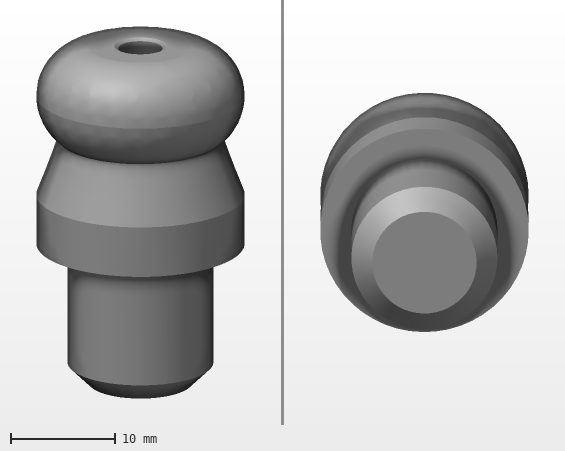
import cadquery as cq
import math

total_height = 34.0
tip_chamfer = 2.0
shank_top = 14.0
collar_top = 19.0
neck_level = 24.72

outer_radius = 10.0
shank_radius = 7.0
neck_radius = 7.92

head_round = 5.0
round_center_radius = outer_radius - head_round
round_center_level = total_height - head_round

hole_radius = 2.1
hole_mouth_radius = 2.5
hole_depth = 12.0
cone_angle = 120.0


def make_body():
    """Shank, collar, tapered neck and rounded head, turned about the Z axis."""
    diagonal = head_round * math.sqrt(0.5)
    upper_middle = (round_center_radius + diagonal, round_center_level + diagonal)
    equator = (outer_radius, round_center_level)

    undercut = outer_radius - neck_radius
    drop = round_center_level - neck_level
    lower_round = (undercut**2 + drop**2) / (2 * undercut)
    half_sweep = math.asin(drop / lower_round) / 2
    lower_middle = (
        outer_radius - lower_round * (1 - math.cos(half_sweep)),
        round_center_level - lower_round * math.sin(half_sweep),
    )

    profile = (
        cq.Workplane("XZ")
        .moveTo(0, 0)
        .lineTo(shank_radius - tip_chamfer, 0)
        .lineTo(shank_radius, tip_chamfer)
        .lineTo(shank_radius, shank_top)
        .lineTo(outer_radius, shank_top)
        .lineTo(outer_radius, collar_top)
        .lineTo(neck_radius, neck_level)
        .threePointArc(lower_middle, equator)
        .threePointArc(upper_middle, (round_center_radius, total_height))
        .lineTo(0, total_height)
        .close()
    )
    return profile.revolve(360, (0, 0, 0), (0, 1, 0))


def make_hole():
    """Drilled hole with a countersunk mouth and a conical bottom."""
    cone_slope = 1 / math.tan(math.radians(cone_angle / 2))
    mouth_depth = (hole_mouth_radius - hole_radius) * cone_slope
    point_depth = hole_radius * cone_slope
    floor_level = total_height - hole_depth
    profile = (
        cq.Workplane("XZ")
        .moveTo(0, total_height)
        .lineTo(hole_mouth_radius, total_height)
        .lineTo(hole_radius, total_height - mouth_depth)
        .lineTo(hole_radius, floor_level)
        .lineTo(0, floor_level - point_depth)
        .close()
    )
    return profile.revolve(360, (0, 0, 0), (0, 1, 0))


result = make_body().cut(make_hole())